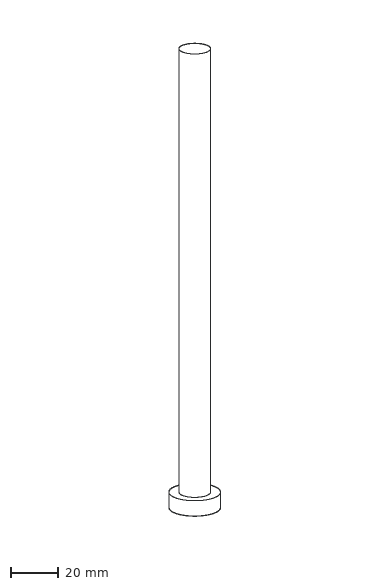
import cadquery as cq

overall_length = 207.0
head_diameter = 22.0
head_thickness = 7.0
shank_diameter = 13.5
shank_length = overall_length - head_thickness


def make_head():
    """Disc head with its underside at the bottom of the pin."""
    return cq.Workplane("XY").circle(head_diameter / 2).extrude(head_thickness)


def add_shank(head):
    """Round shank rising from the centre of the head's upper face."""
    return head.faces(">Z").workplane().circle(shank_diameter / 2).extrude(shank_length)


result = add_shank(make_head())